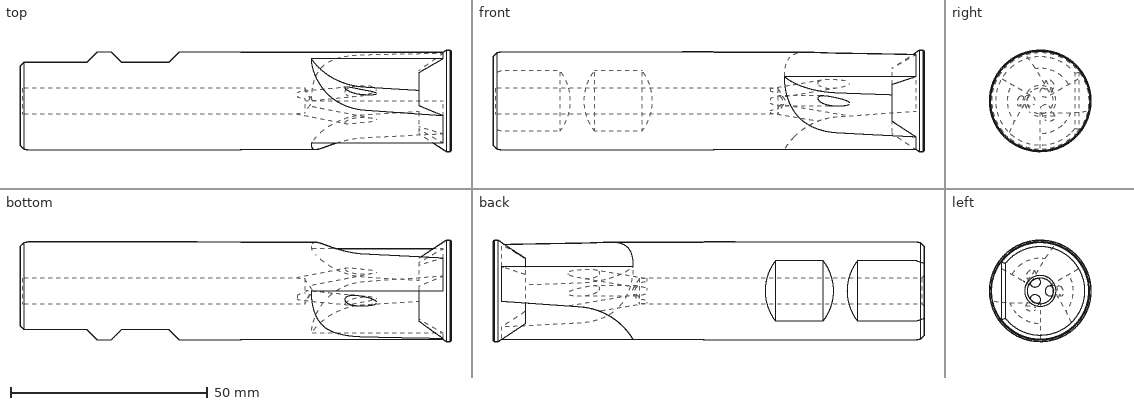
import cadquery as cq
import math

length = 110.0
shank_radius = 12.5
neck_radius = 12.4
shank_length = 56.1
neck_step = 0.4
body_length = 108.3

end_chamfer = 1.0
end_taper = 1.1
end_taper_depth = 0.2

flat_height = 9.9
rear_flat_length = 17.0
front_flat_start = 25.8
front_flat_end = 38.0

head_start = 101.7
head_root_radius = 8.4
rim_start = 108.7
rim_radius = 13.0
rim_chamfer = 0.3

flute_count = 3
flute_angle = 30.0
flute_start = 74.2
flute_run_out = 87.8
flute_floor_radius = 4.1
flute_slope = 4.0

bore_radius = 3.3
bore_depth = 72.6
bore_chamfer = 0.7
drill_point_angle = 118.0
branch_radius = 1.3
branch_angle = 60.0
branch_tilt = 11.0
branch_exit_x = 85.0
branch_exit_radius = 4.8
branch_back = 14.3
branch_front = 8.8

past_surface = 5.5


def revolve_about_x(points):
    """Solid of revolution from (x, radius) points, closed along the X axis."""
    return cq.Workplane("XY").polyline(points).close().revolve(360, (0, 0, 0), (1, 0, 0))


def make_body():
    chamfer_radius = shank_radius - end_taper_depth
    return revolve_about_x([
        (0, 0),
        (0, chamfer_radius - end_chamfer),
        (end_chamfer, chamfer_radius),
        (end_chamfer + end_taper, shank_radius),
        (shank_length, shank_radius),
        (shank_length + neck_step, neck_radius),
        (body_length, neck_radius),
        (body_length, 0),
    ])


def make_head():
    return revolve_about_x([
        (head_start, 0),
        (head_start, head_root_radius),
        (rim_start, rim_radius),
        (length - rim_chamfer, rim_radius),
        (length, rim_radius - rim_chamfer),
        (length, 0),
    ])


def make_flats():
    """Chamfered rear flat and a separate flat with 45 degree ends."""
    depth = shank_radius - flat_height
    rear = [
        (0, shank_radius),
        (0, flat_height - end_chamfer),
        (end_chamfer, flat_height),
        (rear_flat_length, flat_height),
        (rear_flat_length + depth, shank_radius),
    ]
    front = [
        (front_flat_start - depth, shank_radius),
        (front_flat_start, flat_height),
        (front_flat_end, flat_height),
        (front_flat_end + depth, shank_radius),
    ]
    flats = cq.Workplane("XY").polyline(rear).close().extrude(shank_radius, both=True)
    return flats.union(cq.Workplane("XY").polyline(front).close().extrude(shank_radius, both=True))


def make_flute():
    """Flute with a radial wall on Z = 0 and a floor facing +Y, before turning about X."""
    slope = math.radians(flute_slope)
    rise = neck_radius - flute_floor_radius
    run = flute_run_out - flute_start
    arc_radius = (run**2 + rise**2) / (2 * (rise * math.cos(slope) - run * math.sin(slope)))
    center_x = flute_run_out + arc_radius * math.sin(slope)
    center_y = flute_floor_radius + arc_radius * math.cos(slope)
    start_angle = math.atan2(neck_radius - center_y, flute_start - center_x)
    mid_angle = (start_angle - math.pi / 2 - slope) / 2
    arc_middle = (center_x + arc_radius * math.cos(mid_angle), center_y + arc_radius * math.sin(mid_angle))
    floor_end = flute_floor_radius - (length - flute_run_out) * math.tan(slope)
    return (
        cq.Workplane("XY")
        .moveTo(flute_start, neck_radius)
        .threePointArc(arc_middle, (flute_run_out, flute_floor_radius))
        .lineTo(length, floor_end)
        .lineTo(length, neck_radius + past_surface)
        .lineTo(flute_start, neck_radius + past_surface)
        .close()
        .extrude(neck_radius + past_surface)
    )


def make_bore():
    point_length = bore_radius / math.tan(math.radians(drill_point_angle / 2))
    return revolve_about_x([
        (0, 0),
        (0, bore_radius + bore_chamfer),
        (bore_chamfer, bore_radius),
        (bore_depth, bore_radius),
        (bore_depth + point_length, 0),
    ])


def make_branch():
    """Inclined coolant hole running from the bore out through a flute floor, in the XY plane."""
    tilt = math.radians(branch_tilt)
    direction = cq.Vector(math.cos(tilt), math.sin(tilt), 0)
    start = cq.Vector(branch_exit_x, branch_exit_radius, 0) - direction * branch_back
    return cq.Workplane(cq.Solid.makeCylinder(branch_radius, branch_back + branch_front, start, direction))


def turned(shape, angle):
    return shape.rotate((0, 0, 0), (1, 0, 0), angle)


turns = [i * 360 / flute_count for i in range(flute_count)]

body = make_body().cut(make_flats())
for turn in turns:
    body = body.cut(turned(make_flute(), flute_angle + turn))
body = body.cut(make_bore())
for turn in turns:
    body = body.cut(turned(make_branch(), branch_angle + turn))

result = body.union(make_head())